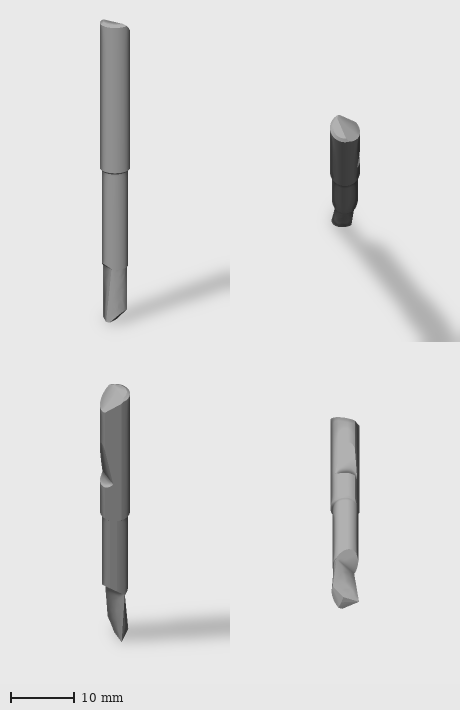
import cadquery as cq
import math

LENGTH = 50.8
SHANK_RADIUS = 2.4
SHANK_BOTTOM = 25.75
TOP_CHAMFER_WIDTH = 0.5
TOP_CHAMFER_HEIGHT = 0.35
NECK_DIAMETER = 4.1
NECK_RADIUS = NECK_DIAMETER / 2
NECK_BOTTOM = 9.2
CLEAR = 2 * SHANK_RADIUS

FLAT_ANGLE = 145.0
FLAT_DISTANCE = 2.0

BEVEL_START_Y = -0.55
NOTCH_TOP = 41.05
NOTCH_DEEPEST_Z = 33.1
NOTCH_BOTTOM = 32.25
NOTCH_FLOOR_Y = 1.15
NOTCH_CORNER_RADIUS = 1.25

HEAD_TOP_RADIUS = 1.95
HEAD_END_RADIUS = 2.3
HEAD_TWIST = 26.0
FLANK_SPAN = 80.0
FLANK_END_SPAN = 84.0
CORNER_BEVEL_TOP = 2.25
CORNER_BEVEL_INNER_X = 0.2
END_RELIEF_RISE = 0.25
END_TILT_RISE = 0.2


def polar(radius, degrees):
    angle = math.radians(degrees)
    return (radius * math.cos(angle), radius * math.sin(angle))


def make_body():
    """Revolved shank and neck, joined by a 45 degree shoulder."""
    shoulder_height = SHANK_RADIUS - NECK_RADIUS
    return (
        cq.Workplane("XZ")
        .moveTo(0, NECK_BOTTOM)
        .lineTo(NECK_RADIUS, NECK_BOTTOM)
        .lineTo(NECK_RADIUS, SHANK_BOTTOM - shoulder_height)
        .lineTo(SHANK_RADIUS, SHANK_BOTTOM)
        .lineTo(SHANK_RADIUS, LENGTH - TOP_CHAMFER_HEIGHT)
        .lineTo(SHANK_RADIUS - TOP_CHAMFER_WIDTH, LENGTH)
        .lineTo(0, LENGTH)
        .close()
        .revolve(360, (0, 0), (0, 1))
    )


def make_flat_cutter():
    return (
        cq.Workplane("XY")
        .box(CLEAR, 2 * CLEAR, LENGTH, centered=(False, True, False))
        .translate((FLAT_DISTANCE, 0, 0))
        .rotate((0, 0, 0), (0, 0, 1), FLAT_ANGLE)
    )


def make_top_bevel():
    """45 degree wedge rising from the +Y side to the top face."""
    return (
        cq.Workplane("YZ")
        .moveTo(BEVEL_START_Y, LENGTH)
        .lineTo(BEVEL_START_Y + CLEAR, LENGTH - CLEAR)
        .lineTo(BEVEL_START_Y + CLEAR, LENGTH)
        .close()
        .extrude(CLEAR, both=True)
    )


def make_notch():
    return (
        cq.Workplane("YZ")
        .moveTo(SHANK_RADIUS, NOTCH_TOP)
        .lineTo(NOTCH_FLOOR_Y, NOTCH_DEEPEST_Z)
        .radiusArc((SHANK_RADIUS, NOTCH_BOTTOM), -NOTCH_CORNER_RADIUS)
        .lineTo(CLEAR, NOTCH_BOTTOM)
        .lineTo(CLEAR, NOTCH_TOP)
        .close()
        .extrude(CLEAR, both=True)
    )


def make_ledge_cutter(distance, degrees):
    """45 degree runout of a head face, from that face's distance and direction."""
    outward = polar(1, degrees)
    foot = polar(distance, degrees)
    plane = cq.Plane(
        origin=(foot[0], foot[1], NECK_BOTTOM),
        xDir=(outward[0], outward[1], 0),
        normal=(outward[1], -outward[0], 0),
    )
    return (
        cq.Workplane(plane)
        .polyline([(0, 0), (CLEAR, 0), (CLEAR, CLEAR)])
        .close()
        .extrude(CLEAR, both=True)
    )


def head_section(height, radius, start_angle, flank_span):
    """Half disc with a chord replacing the first part of its arc."""
    flank_end = start_angle + flank_span
    rake_end = start_angle + 180
    outline = (
        cq.Workplane("XY", origin=(0, 0, height))
        .moveTo(*polar(radius, start_angle))
        .lineTo(*polar(radius, flank_end))
        .threePointArc(polar(radius, (flank_end + rake_end) / 2), polar(radius, rake_end))
        .close()
    )
    return outline.val()


def make_head():
    upper = head_section(NECK_BOTTOM, HEAD_TOP_RADIUS, 180 + HEAD_TWIST, FLANK_SPAN)
    lower = head_section(0, HEAD_END_RADIUS, 180, FLANK_END_SPAN)
    head = cq.Workplane(cq.Solid.makeLoft([lower, upper], True))
    corner_bevel = (
        cq.Workplane("XZ")
        .polyline([
            (CORNER_BEVEL_INNER_X, 0),
            (HEAD_END_RADIUS, CORNER_BEVEL_TOP),
            (CLEAR, CORNER_BEVEL_TOP),
            (CLEAR, 0),
        ])
        .close()
        .extrude(CLEAR, both=True)
    )
    end_relief = (
        cq.Workplane("YZ")
        .polyline([(0, 0), (-HEAD_END_RADIUS, END_RELIEF_RISE), (-HEAD_END_RADIUS, 0)])
        .close()
        .extrude(CLEAR, both=True)
    )
    end_tilt = (
        cq.Workplane("XZ")
        .polyline([(-HEAD_END_RADIUS, 0), (HEAD_END_RADIUS, END_TILT_RISE), (HEAD_END_RADIUS, 0)])
        .close()
        .extrude(CLEAR, both=True)
    )
    return head.cut(corner_bevel).cut(end_relief).cut(end_tilt)


rake_direction = 90 + HEAD_TWIST
flank_direction = 180 + HEAD_TWIST + FLANK_SPAN / 2
flank_distance = HEAD_TOP_RADIUS * math.cos(math.radians(FLANK_SPAN / 2))

body = make_body()
body = body.cut(make_flat_cutter()).cut(make_top_bevel()).cut(make_notch())
body = body.cut(make_ledge_cutter(0, rake_direction))
body = body.cut(make_ledge_cutter(flank_distance, flank_direction))
result = body.union(make_head())